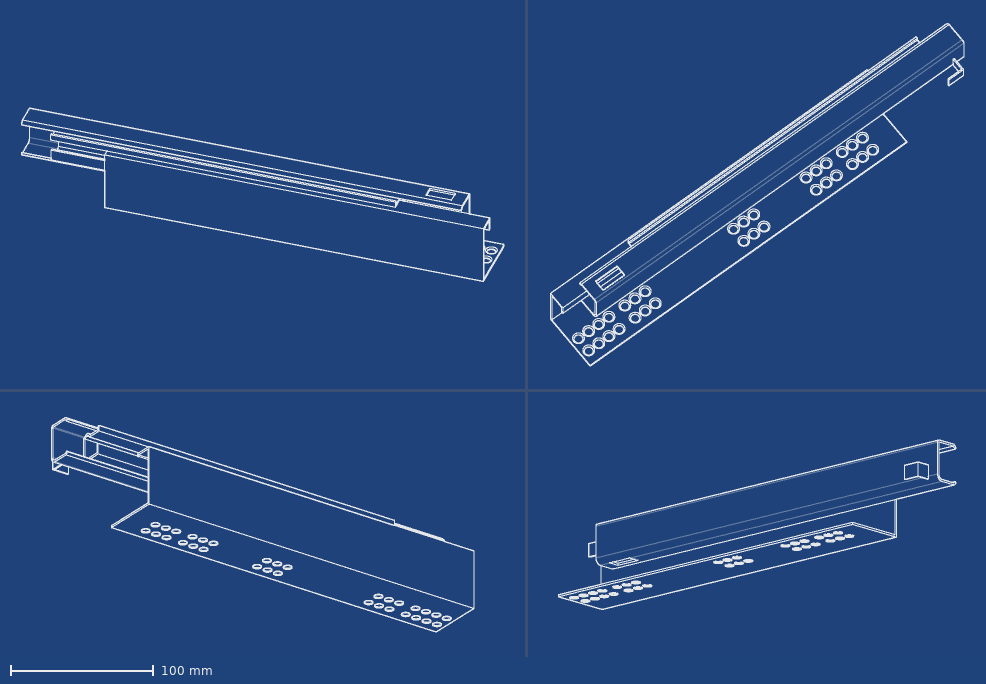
import cadquery as cq
import math


SLIDE_LENGTH = 344.5
BRACKET_DEPTH = 45.5
SLIDE_HEIGHT = 53.5
SHEET = 1.55
TAB_SHEET = 1.0

BRACKET_START = 64.5
BRACKET_HEIGHT = 45.0
BRACKET_LIP_BACK = 14.0
BRACKET_LIP_BOTTOM = 35.5

HOLE_DIAMETER = 6.2
SINK_DIAMETER = 8.3
SINK_ANGLE = 90
HOLE_PITCH = 9.0
GROUP_SPACING = 32.0
FIRST_HOLE_X = 87.0
HOLE_GROUPS = [(0, 3), (1, 3), (3, 3), (6, 3), (7, 4)]
HOLE_ROWS_Y = (36.0, 24.0)

MIDDLE_START = 23.5
MIDDLE_LENGTH = 255.0
MIDDLE_BACK = 21.7
MIDDLE_TOP_FRONT = 3.0
MIDDLE_BOTTOM_FRONT = 4.0
MIDDLE_TOP = 51.0
MIDDLE_LIP_TOP = 37.2
UPPER_FLANGE_Z = 46.5
LOWER_FLANGE_Z = 29.0
BEAD_HEIGHT = 2.0
BEAD_FRONT = 14.0
CREST_FRONT = 16.2
CREST_BACK = 18.3

DRAWER_LENGTH = 325.2
DRAWER_BACK = 27.5
DRAWER_FRONT = 8.3
DRAWER_BOTTOM = 23.8
TOP_EDGE_SLOPE = 2.5
BOTTOM_EDGE_SLOPE = 1.7
TOP_BEND = 2.0
BOTTOM_BEND = 4.5

WINDOW_START = 297.0
WINDOW_LENGTH = 19.0
WINDOW_FRONT = 14.8
WINDOW_WIDTH = 8.5

TAB_START = 8.5
TAB_LENGTH = 13.0
TAB_BACK = 38.2
TAB_BOTTOM = 26.2
TAB_HEIGHT = 10.5


def left_normal(start, end):
    """Unit normal on the left of the segment from start to end."""
    dy = end[0] - start[0]
    dz = end[1] - start[1]
    length = math.hypot(dy, dz)
    return (-dz / length, dy / length)


def bent_sheet(path, start, length):
    """Sheet along X whose (Y, Z) section follows path, with its thickness on the left of it."""
    normals = [left_normal(a, b) for a, b in zip(path, path[1:])]
    before = [normals[0]] + normals
    after = normals + [normals[-1]]
    inner = []
    for (y, z), n, m in zip(path, before, after):
        reach = SHEET / (1 + n[0] * m[0] + n[1] * m[1])
        inner.append((y + reach * (n[0] + m[0]), z + reach * (n[1] + m[1])))
    section = path + inner[::-1]
    return cq.Workplane("YZ", origin=(start, 0, 0)).polyline(section).close().extrude(length)


def make_bracket():
    path = [
        (BRACKET_LIP_BACK, BRACKET_LIP_BOTTOM),
        (BRACKET_LIP_BACK, BRACKET_HEIGHT),
        (0, BRACKET_HEIGHT),
        (0, 0),
        (BRACKET_DEPTH, 0),
    ]
    bracket = bent_sheet(path, BRACKET_START, SLIDE_LENGTH - BRACKET_START)
    centres = [
        (FIRST_HOLE_X + spacings * GROUP_SPACING + i * HOLE_PITCH, y)
        for y in HOLE_ROWS_Y
        for spacings, count in HOLE_GROUPS
        for i in range(count)
    ]
    holes = cq.Workplane("XY").pushPoints(centres).circle(HOLE_DIAMETER / 2).extrude(SHEET)
    bracket = bracket.cut(holes)
    sink_depth = (SINK_DIAMETER - HOLE_DIAMETER) / 2 / math.tan(math.radians(SINK_ANGLE / 2))
    sinks = (
        cq.Workplane("XY", origin=(0, 0, SHEET))
        .pushPoints(centres)
        .circle(SINK_DIAMETER / 2)
        .extrude(-sink_depth, taper=SINK_ANGLE / 2)
    )
    return bracket.cut(sinks)


def make_middle_rail():
    path = [
        (MIDDLE_BOTTOM_FRONT, MIDDLE_LIP_TOP),
        (MIDDLE_BOTTOM_FRONT, LOWER_FLANGE_Z),
        (BEAD_FRONT, LOWER_FLANGE_Z),
        (CREST_FRONT, LOWER_FLANGE_Z - BEAD_HEIGHT),
        (CREST_BACK, LOWER_FLANGE_Z - BEAD_HEIGHT),
        (MIDDLE_BACK, LOWER_FLANGE_Z),
        (MIDDLE_BACK, UPPER_FLANGE_Z + SHEET),
        (CREST_BACK, UPPER_FLANGE_Z + SHEET + BEAD_HEIGHT),
        (CREST_FRONT, UPPER_FLANGE_Z + SHEET + BEAD_HEIGHT),
        (BEAD_FRONT, UPPER_FLANGE_Z + SHEET),
        (MIDDLE_TOP_FRONT + SHEET, UPPER_FLANGE_Z + SHEET),
        (MIDDLE_TOP_FRONT + SHEET, MIDDLE_TOP),
    ]
    return bent_sheet(path, MIDDLE_START, MIDDLE_LENGTH)


def make_drawer_rail():
    path = [
        (DRAWER_FRONT, DRAWER_BOTTOM + BOTTOM_EDGE_SLOPE),
        (DRAWER_FRONT + BOTTOM_EDGE_SLOPE, DRAWER_BOTTOM),
        (DRAWER_BACK, DRAWER_BOTTOM),
        (DRAWER_BACK, SLIDE_HEIGHT),
        (DRAWER_FRONT + TOP_EDGE_SLOPE, SLIDE_HEIGHT),
        (DRAWER_FRONT, SLIDE_HEIGHT - TOP_EDGE_SLOPE),
    ]
    rail = bent_sheet(path, 0, DRAWER_LENGTH)
    for corner_z, inward, radius in ((SLIDE_HEIGHT, -1, TOP_BEND), (DRAWER_BOTTOM, 1, BOTTOM_BEND)):
        for depth, bend in ((0, radius), (SHEET, radius - SHEET)):
            corner = (DRAWER_LENGTH / 2, DRAWER_BACK - depth, corner_z + inward * depth)
            rail = rail.edges(cq.NearestToPointSelector(corner)).fillet(bend)
    window = cq.Workplane("XY").box(WINDOW_LENGTH, WINDOW_WIDTH, SLIDE_HEIGHT, centered=False)
    rail = rail.cut(window.translate((WINDOW_START, WINDOW_FRONT, 0)))
    return rail.union(make_tab())


def make_tab():
    leg = cq.Workplane("XY").box(TAB_SHEET, TAB_BACK - DRAWER_BACK, TAB_HEIGHT, centered=False)
    leg = leg.translate((TAB_START, DRAWER_BACK, TAB_BOTTOM))
    hook = cq.Workplane("XY").box(TAB_LENGTH, TAB_SHEET, TAB_HEIGHT, centered=False)
    hook = hook.translate((TAB_START, TAB_BACK - TAB_SHEET, TAB_BOTTOM))
    return leg.union(hook)


bracket = make_bracket()
middle_rail = make_middle_rail()
drawer_rail = make_drawer_rail()

result = cq.Compound.makeCompound([bracket.val(), middle_rail.val(), drawer_rail.val()])